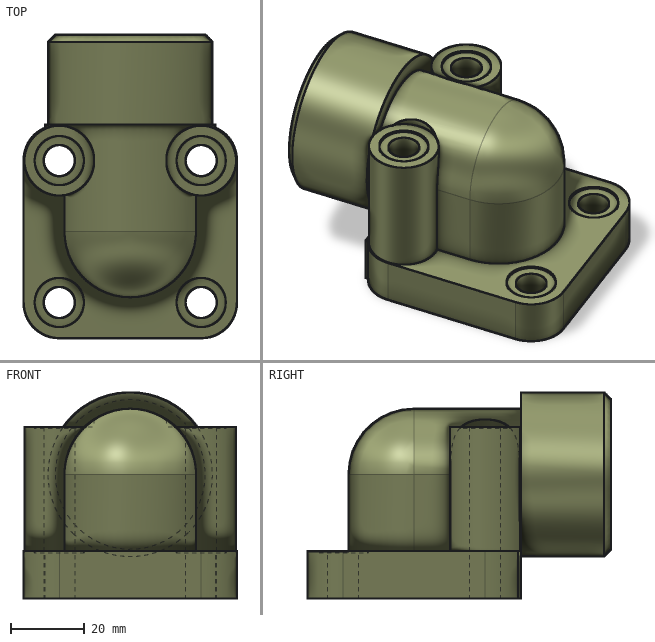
import cadquery as cq

flange_side = 58.5
flange_height = 13.0
corner_radius = 9.8
rear_pad_width = 46.6

bolt_offset = flange_side / 2 - corner_radius
boss_diameter = 19.1
boss_top = 47.0
bolt_hole_diameter = 8.5
spotface_diameter = 13.5
spotface_depth = 0.5

overall_length = 83.2
overall_height = 56.5
pipe_diameter = 36.0
collar_diameter = 45.0
pipe_axis_height = overall_height - collar_diameter / 2
collar_chamfer = 2.0
collar_start = flange_side / 2
collar_end = overall_length - flange_side / 2

front_bolts = [(x, -bolt_offset) for x in (-bolt_offset, bolt_offset)]
rear_bolts = [(x, bolt_offset) for x in (-bolt_offset, bolt_offset)]


def vertical_cylinders(points, diameter, bottom, top):
    return (
        cq.Workplane("XY", origin=(0, 0, bottom))
        .pushPoints(points)
        .circle(diameter / 2)
        .extrude(top - bottom)
    )


def cylinder_along_y(diameter, start, end):
    return (
        cq.Workplane("XZ", origin=(0, start, pipe_axis_height))
        .circle(diameter / 2)
        .extrude(start - end)
    )


def make_flange():
    return (
        cq.Workplane("XY")
        .rect(flange_side, flange_side)
        .extrude(flange_height)
        .edges("|Z")
        .fillet(corner_radius)
    )


def make_elbow():
    riser = vertical_cylinders([(0, 0)], pipe_diameter, 0, pipe_axis_height)
    bend = cq.Workplane("XY", origin=(0, 0, pipe_axis_height)).sphere(pipe_diameter / 2)
    outlet = cylinder_along_y(pipe_diameter, 0, collar_end - collar_chamfer)
    return riser.union(bend).union(outlet)


def make_web():
    """Fill the space under the outlet pipe."""
    return cq.Workplane("XY").box(
        pipe_diameter, collar_start, pipe_axis_height, centered=(True, False, False)
    )


def make_rear_pad():
    """Square off the rear flange edge just beyond the width of the collar."""
    return cq.Workplane("XY", origin=(0, bolt_offset, 0)).box(
        rear_pad_width, corner_radius, flange_height, centered=(True, False, False)
    )


def make_collar():
    collar = cylinder_along_y(collar_diameter, collar_start, collar_end)
    return collar.faces(">Y").chamfer(collar_chamfer)


def cut_bolt_holes(body, points, seat_height):
    holes = vertical_cylinders(points, bolt_hole_diameter, 0, seat_height)
    spotfaces = vertical_cylinders(points, spotface_diameter, seat_height - spotface_depth, seat_height)
    return body.cut(holes).cut(spotfaces)


bosses = vertical_cylinders(rear_bolts, boss_diameter, 0, boss_top)
head_clearance = vertical_cylinders(rear_bolts, boss_diameter, boss_top, overall_height)

result = make_flange().union(make_rear_pad()).union(make_web()).union(make_elbow()).union(bosses)
result = result.cut(head_clearance).union(make_collar())
result = cut_bolt_holes(result, front_bolts, flange_height)
result = cut_bolt_holes(result, rear_bolts, boss_top)